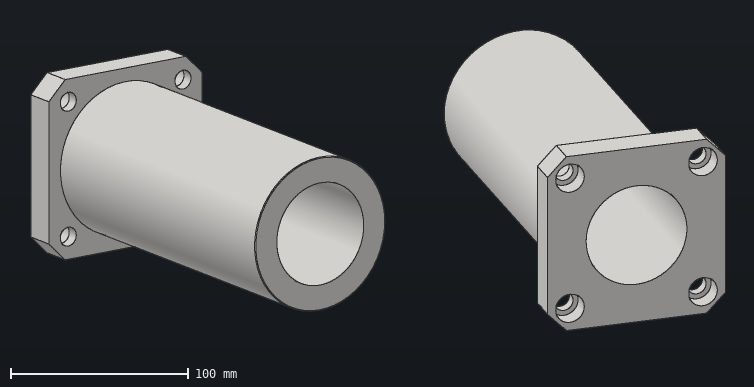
import cadquery as cq
import math

overall_length = 209.0
sleeve_diameter = 90.0
bore_diameter = 60.0
sleeve_end_chamfer = 0.5

flange_side = 106.0
flange_across_corners = 134.0
flange_corner_chamfer = flange_side - flange_across_corners / math.sqrt(2)
flange_thickness = 18.0

bolt_circle_diameter = 112.0
bolt_hole_diameter = 11.0
counterbore_diameter = 17.0
counterbore_depth = 11.1
bolt_count = 4
first_bolt_angle = 45.0


def make_flange():
    square = cq.Workplane("YZ").rect(flange_side, flange_side).extrude(flange_thickness)
    return square.edges("|X").chamfer(flange_corner_chamfer)


def make_sleeve():
    sleeve = cq.Workplane("YZ").circle(sleeve_diameter / 2).extrude(overall_length)
    return sleeve.faces(">X").edges().chamfer(sleeve_end_chamfer)


def make_bore():
    return cq.Workplane("YZ").circle(bore_diameter / 2).extrude(overall_length)


def bolt_cylinders(diameter, depth):
    """Cylinders at the bolt positions, running from the flange face into the part."""
    return (
        cq.Workplane("YZ")
        .polarArray(bolt_circle_diameter / 2, first_bolt_angle, 360, bolt_count)
        .circle(diameter / 2)
        .extrude(depth)
    )


result = (
    make_flange()
    .union(make_sleeve())
    .cut(make_bore())
    .cut(bolt_cylinders(bolt_hole_diameter, flange_thickness))
    .cut(bolt_cylinders(counterbore_diameter, counterbore_depth))
)